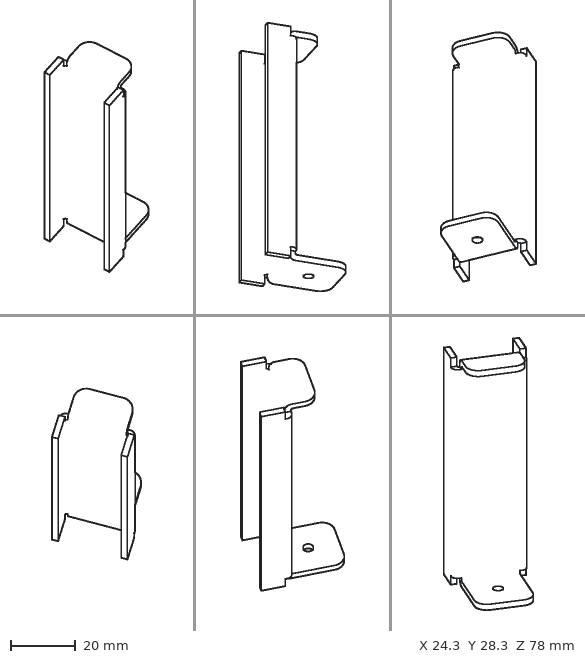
import cadquery as cq

width = 24.3
depth = 28.3
height = 78.0

sheet = 2.0
inner_bend_radius = 0.5
outer_bend_radius = sheet

front_reach = 10.3
relief_depth = 2.6
relief_height = 3.1

tab_width = 18.9
bottom_tab_reach = depth - front_reach
top_tab_reach = 8.6
tab_corner_radius = 4.05
hole_diameter = 3.2
hole_from_tab_end = 10.0


def make_channel():
    """Web and side flanges, with the bends removed beside the tabs."""
    inner_width = width - 2 * sheet
    outer = (
        cq.Workplane("XY")
        .box(width, front_reach, height, centered=(True, False, False))
        .translate((0, -front_reach, 0))
        .edges("|Z and >Y")
        .fillet(outer_bend_radius)
    )
    inner = (
        cq.Workplane("XY")
        .box(inner_width, front_reach, height, centered=(True, False, False))
        .translate((0, -front_reach - sheet, 0))
        .edges("|Z and >Y")
        .fillet(inner_bend_radius)
    )
    channel = outer.cut(inner)
    for bottom in (0, height - relief_height):
        end_strip = (
            cq.Workplane("XY")
            .box(width, relief_depth, relief_height, centered=(True, False, False))
            .translate((0, -relief_depth, bottom))
        )
        channel = channel.cut(end_strip)
    return channel


def make_bottom_tab(reach):
    """Tab at Z = 0 with its bend, rising to the top of the bend relief."""
    tab = (
        cq.Workplane("YZ")
        .moveTo(-sheet, relief_height)
        .lineTo(-sheet, outer_bend_radius)
        .radiusArc((outer_bend_radius - sheet, 0), -outer_bend_radius)
        .lineTo(reach, 0)
        .lineTo(reach, sheet)
        .lineTo(inner_bend_radius, sheet)
        .radiusArc((0, sheet + inner_bend_radius), inner_bend_radius)
        .lineTo(0, relief_height)
        .close()
        .extrude(tab_width / 2, both=True)
    )
    return tab.edges("|Z and >Y").fillet(tab_corner_radius)


hole = (
    cq.Workplane("XY")
    .center(0, bottom_tab_reach - hole_from_tab_end)
    .circle(hole_diameter / 2)
    .extrude(sheet)
)
bottom_tab = make_bottom_tab(bottom_tab_reach).cut(hole)
top_tab = make_bottom_tab(top_tab_reach).mirror("XY").translate((0, 0, height))

result = make_channel().union(bottom_tab).union(top_tab)